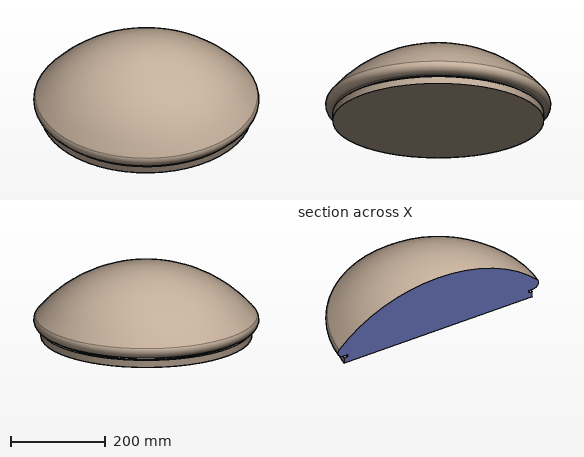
import cadquery as cq
import math

total_height = 155.5
outer_diameter = 475.0
base_diameter = 445.0
base_height = 15.5
neck_foot_diameter = 432.0
neck_foot_top = 16.0
neck_taper_top = 18.0
neck_diameter = 427.0
rim_bottom = 21.5
dome_edge_height = 45.5

base_radius = base_diameter / 2
rim_round = outer_diameter / 2 - base_radius
rim_center_height = rim_bottom + rim_round
dome_edge_rise = dome_edge_height - rim_center_height
dome_edge_radius = base_radius + math.sqrt(rim_round**2 - dome_edge_rise**2)

cap_height = total_height - dome_edge_height
dome_sphere_radius = (dome_edge_radius**2 + cap_height**2) / (2 * cap_height)
dome_center_height = total_height - dome_sphere_radius
dome_mid_radius = dome_edge_radius / 2
dome_mid_height = dome_center_height + math.sqrt(dome_sphere_radius**2 - dome_mid_radius**2)


def domed_cover():
    """Spherical dome with a rounded rim and a flat underside."""
    profile = (
        cq.Workplane("XZ")
        .moveTo(0, rim_bottom)
        .lineTo(base_radius, rim_bottom)
        .threePointArc((outer_diameter / 2, rim_center_height), (dome_edge_radius, dome_edge_height))
        .threePointArc((dome_mid_radius, dome_mid_height), (0, total_height))
        .close()
    )
    return profile.revolve(360, (0, 0, 0), (0, 1, 0))


def tapered_neck():
    """Straight neck that tapers outward to a thin foot on the base."""
    neck_radius = neck_diameter / 2
    profile = (
        cq.Workplane("XZ")
        .moveTo(0, base_height)
        .lineTo(neck_foot_diameter / 2, base_height)
        .lineTo(neck_foot_diameter / 2, neck_foot_top)
        .lineTo(neck_radius, neck_taper_top)
        .lineTo(neck_radius, rim_bottom)
        .lineTo(0, rim_bottom)
        .close()
    )
    return profile.revolve(360, (0, 0, 0), (0, 1, 0))


base = cq.Workplane("XY").circle(base_radius).extrude(base_height)

result = base.union(tapered_neck()).union(domed_cover())